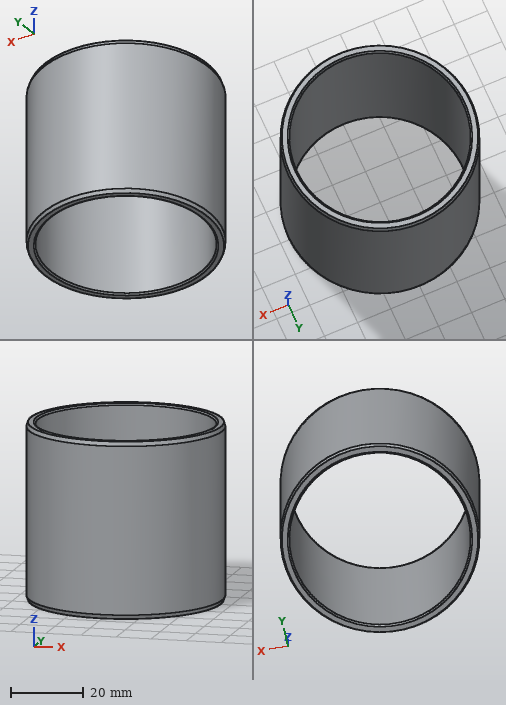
import cadquery as cq

outer_diameter = 55.0
bore_diameter = 50.0
length = 50.0

outer_chamfer_length = 1.2
outer_chamfer_depth = 0.45
bore_chamfer = 0.5

outer_radius = outer_diameter / 2
bore_radius = bore_diameter / 2
half_length = length / 2

upper_wall = [
    (bore_radius, half_length - bore_chamfer),
    (bore_radius + bore_chamfer, half_length),
    (outer_radius - outer_chamfer_depth, half_length),
    (outer_radius, half_length - outer_chamfer_length),
]
lower_wall = [(radius, -height) for radius, height in reversed(upper_wall)]

result = (
    cq.Workplane("XZ")
    .polyline(upper_wall + lower_wall)
    .close()
    .revolve(360, (0, 0, 0), (0, 1, 0))
)